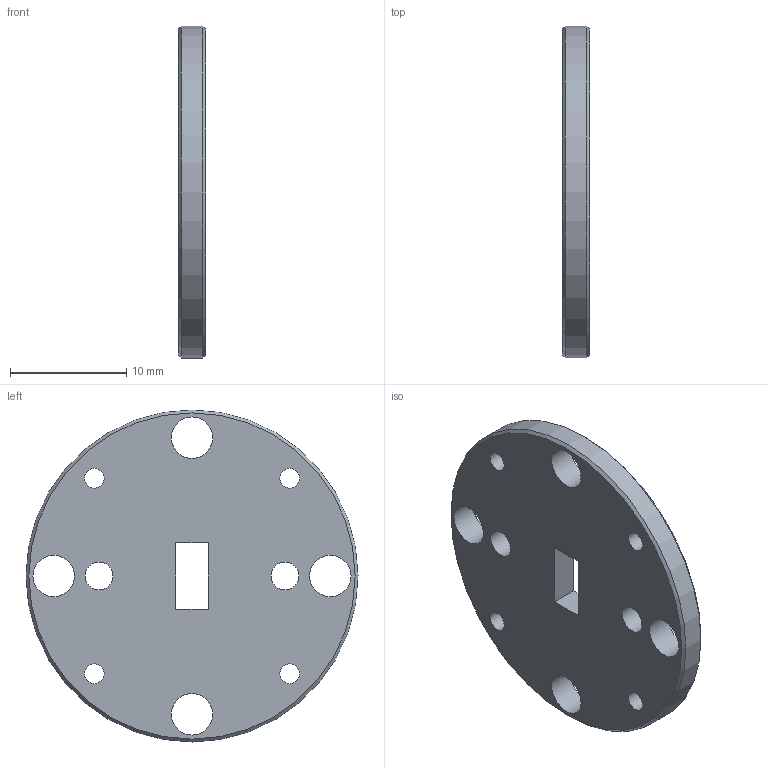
import cadquery as cq

disc_diameter = 28.575
disc_thickness = 2.34
rim_chamfer = 0.25

window_width = 2.84
window_height = 5.69

bolt_circle_diameter = 23.81
large_hole_diameter = 3.57
small_hole_diameter = 1.70
diagonal_angle = 45

inner_hole_spacing = 16.0
inner_hole_diameter = 2.40


def face_plane():
    """Workplane on the -X face of the disc, with its normal along +X."""
    return cq.Workplane("YZ", origin=(-disc_thickness / 2, 0, 0))


def make_disc():
    """Plain disc centred on the origin, chamfered on both rims."""
    disc = face_plane().circle(disc_diameter / 2).extrude(disc_thickness)
    return disc.faces("<X or >X").edges().chamfer(rim_chamfer)


def hole_ring(circle_diameter, hole_diameter, count, start_angle=0):
    """Pins that cut evenly spaced through holes on a circle about the X axis."""
    return (
        face_plane()
        .polarArray(circle_diameter / 2, start_angle, 360, count)
        .circle(hole_diameter / 2)
        .extrude(disc_thickness)
    )


def make_window():
    """Block that cuts the rectangular window through the disc."""
    return face_plane().rect(window_width, window_height).extrude(disc_thickness)


result = (
    make_disc()
    .cut(make_window())
    .cut(hole_ring(bolt_circle_diameter, large_hole_diameter, 4))
    .cut(hole_ring(bolt_circle_diameter, small_hole_diameter, 4, diagonal_angle))
    .cut(hole_ring(inner_hole_spacing, inner_hole_diameter, 2))
)